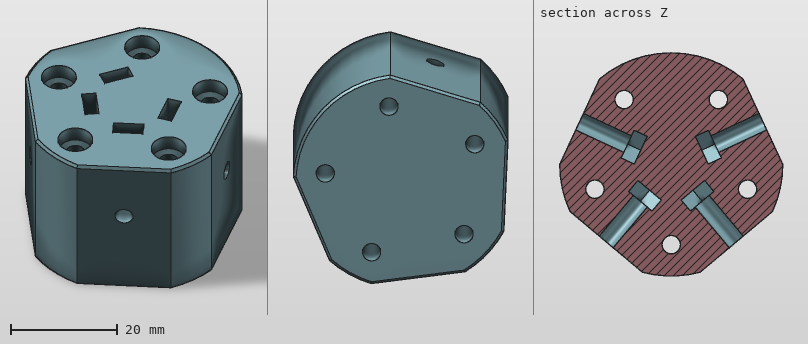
import cadquery as cq
import math

body_radius = 20.9
body_height = 30.0
edge_chamfer = 0.5
flat_distance = 18.95
flat_angles = (-50, 25, 155, 230)

bolt_count = 5
bolt_circle_radius = 15.0
bolt_hole_diameter = 3.4
counterbore_diameter = 6.5
counterbore_depth = 3.0
first_bolt_angle = -90

screw_hole_diameter = 3.4
screw_height = 18.0
nut_width = 5.7
nut_thickness = 2.68
nut_distance = 7.65
nut_corner_radius = nut_width / math.sqrt(3)


def make_body():
    """Cylinder cut down to the flats, chamfered around both ends."""
    body = cq.Workplane("XY").circle(body_radius).extrude(body_height)
    outside_depth = body_radius
    for angle in flat_angles:
        outside = (
            cq.Workplane("XY")
            .box(outside_depth, 2 * body_radius, body_height, centered=(False, True, False))
            .translate((flat_distance, 0, 0))
            .rotate((0, 0, 0), (0, 0, 1), angle)
        )
        body = body.cut(outside)
    return body.faces("<Z or >Z").edges().chamfer(edge_chamfer)


def cut_bolt_holes(body):
    """Ring of through holes, counterbored from the top."""
    return (
        body.faces(">Z")
        .workplane(origin=(0, 0, body_height))
        .polarArray(bolt_circle_radius, first_bolt_angle, 360, bolt_count)
        .cboreHole(bolt_hole_diameter, counterbore_diameter, counterbore_depth)
    )


def make_screw_cutter():
    """Screw hole along +X and a nut pocket, open to the top, with a pointed floor."""
    nut_inner_face = nut_distance - nut_thickness / 2
    half_width = nut_width / 2
    shoulder_height = screw_height - nut_corner_radius / 2
    pocket = (
        cq.Workplane("YZ", origin=(nut_inner_face, 0, 0))
        .moveTo(0, screw_height - nut_corner_radius)
        .lineTo(half_width, shoulder_height)
        .lineTo(half_width, body_height)
        .lineTo(-half_width, body_height)
        .lineTo(-half_width, shoulder_height)
        .close()
        .extrude(nut_thickness)
    )
    hole = (
        cq.Workplane("YZ", origin=(nut_distance, 0, screw_height))
        .circle(screw_hole_diameter / 2)
        .extrude(body_radius - nut_distance)
    )
    return pocket.union(hole)


result = cut_bolt_holes(make_body())
screw_cutter = make_screw_cutter()
for flat_angle in flat_angles:
    result = result.cut(screw_cutter.rotate((0, 0, 0), (0, 0, 1), flat_angle))